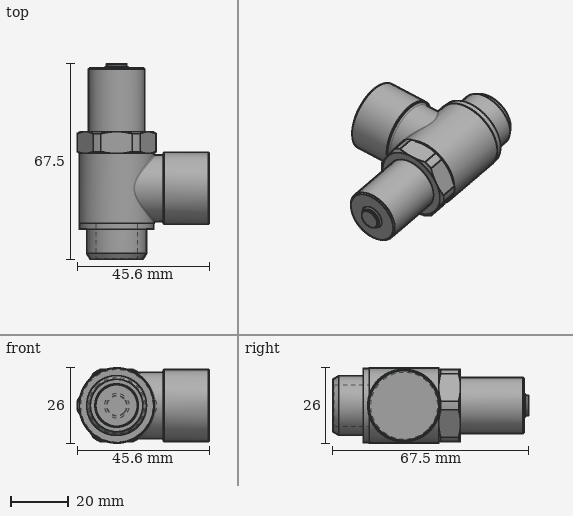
import cadquery as cq
import math

spigot_chamfer_end = 2.1
collar_start = 10.45
body_start = 12.5
hex_start = 36.5
hex_end = 44.0
sleeve_end = 66.0
flare_end = 66.55
total_length = 67.5

spigot_radius = 10.3
spigot_tip_radius = 9.05
collar_radius = 12.8
body_radius = 12.995
sleeve_radius = 9.7
sleeve_chamfer = 0.5
pin_base_radius = 4.25
pin_radius = 3.6
pin_chamfer = 0.2

hex_across_flats = 25.0
hex_corner_radius = 13.65
hex_chamfer_height = 0.7

bore_radius = 7.15
bore_mouth_radius = 7.5
bore_depth = body_start

overall_width = 45.6
branch_y = 24.5
branch_end = overall_width - hex_corner_radius
neck_radius = 11.55
neck_end = 16.1
neck_fillet = 0.5
head_radius = 12.5
head_inner_chamfer = 0.35
head_chamfer = 0.5
junction_fillet = 0.35


def turned(points):
    """Revolve a closed (radius, y) outline about the Y axis."""
    return cq.Workplane("XY").polyline(points).close().revolve(360, (0, 0, 0), (0, 1, 0))


def make_main_body():
    return turned([
        (0, 0),
        (spigot_tip_radius, 0),
        (spigot_radius, spigot_chamfer_end),
        (spigot_radius, collar_start),
        (collar_radius, collar_start),
        (collar_radius, body_start),
        (body_radius, body_start),
        (body_radius, hex_start),
        (0, hex_start),
    ])


def make_branch():
    fillet_rise = neck_fillet * (1 - math.sqrt(0.5))
    fillet_run = neck_fillet * math.sqrt(0.5)
    branch = (
        cq.Workplane("XY")
        .moveTo(0, 0)
        .lineTo(0, neck_radius)
        .lineTo(neck_end - neck_fillet, neck_radius)
        .threePointArc(
            (neck_end - neck_fillet + fillet_run, neck_radius + fillet_rise),
            (neck_end, neck_radius + neck_fillet),
        )
        .lineTo(neck_end, head_radius - head_inner_chamfer)
        .lineTo(neck_end + head_inner_chamfer, head_radius)
        .lineTo(branch_end - head_chamfer, head_radius)
        .lineTo(branch_end, head_radius - head_chamfer)
        .lineTo(branch_end, 0)
        .close()
        .revolve(360, (0, 0, 0), (1, 0, 0))
    )
    return branch.translate((0, branch_y, 0))


def make_hexagon():
    """Hexagon with flats facing +Z and -Z, its corners turned and coned at both ends."""
    corner_diameter = hex_across_flats / math.cos(math.pi / 6)
    prism = (
        cq.Workplane("XZ", origin=(0, hex_start, 0))
        .polygon(6, corner_diameter)
        .extrude(-(hex_end - hex_start))
    )
    flat_radius = hex_across_flats / 2
    turned_blank = turned([
        (0, hex_start),
        (flat_radius, hex_start),
        (hex_corner_radius, hex_start + hex_chamfer_height),
        (hex_corner_radius, hex_end - hex_chamfer_height),
        (flat_radius, hex_end),
        (0, hex_end),
    ])
    return prism.intersect(turned_blank)


def make_sleeve_and_pin():
    return turned([
        (0, hex_end),
        (sleeve_radius, hex_end),
        (sleeve_radius, sleeve_end - sleeve_chamfer),
        (sleeve_radius - sleeve_chamfer, sleeve_end),
        (pin_base_radius, sleeve_end),
        (pin_radius, flare_end),
        (pin_radius, total_length - pin_chamfer),
        (pin_radius - pin_chamfer, total_length),
        (0, total_length),
    ])


def make_bore():
    mouth_depth = bore_mouth_radius - bore_radius
    return turned([
        (0, 0),
        (bore_mouth_radius, 0),
        (bore_radius, mouth_depth),
        (bore_radius, bore_depth),
        (0, bore_depth),
    ])


tee = make_main_body().union(make_branch())
junction_box = cq.selectors.BoxSelector(
    (0, body_start, -body_radius),
    (neck_end - neck_fillet - junction_fillet, hex_start, body_radius),
    boundingbox=False,
)
junction_edges = tee.edges(junction_box).edges("not %CIRCLE").edges("not %LINE")
tee = tee.newObject(junction_edges.vals()).fillet(junction_fillet)

result = tee.union(make_hexagon()).union(make_sleeve_and_pin()).cut(make_bore())